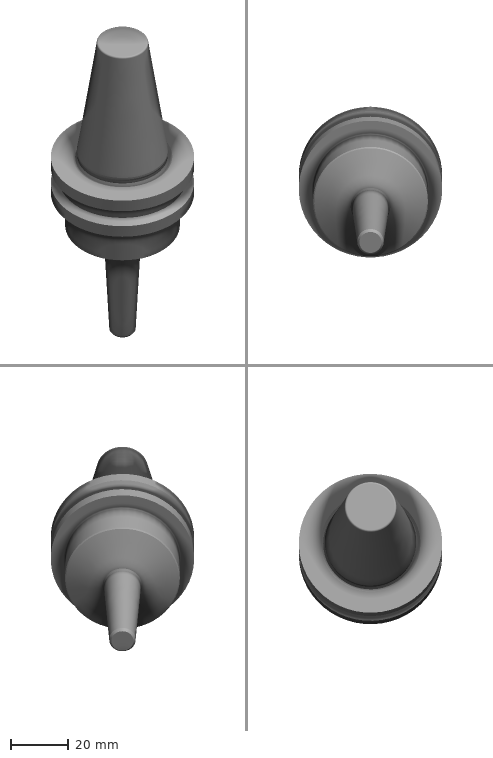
import cadquery as cq
import math

total_height = 127.8
nose_top = 40.0
cone_top = 46.8
flange_bottom = 61.1
flange_top = 77.0
collar_bottom = 79.2
collar_top = 80.0
collar_chamfer_height = 0.8

flange_radius = 24.98
body_radius = 20.0
nose_tip_radius = 4.6
nose_top_radius = 6.45
cone_small_radius = 6.9
collar_radius = 15.91
neck_radius = 15.7

groove_floor_radius = 22.2
groove_floor_width = 3.6
groove_mouth_width = 6.6

taper_slope = 7 / 24 / 2
taper_top_radius = collar_radius - (total_height - collar_top) * taper_slope

relief_start_height = 0.4
relief_depth = 0.4
relief_floor_radius = 16.5
relief_mouth_radius = 17.4

tip_chamfer_height = 1.0
tip_chamfer_width = 0.8
nose_blend_height = 0.9
body_corner_chamfer = 0.4
body_root_radius = 0.5
taper_top_fillet = 0.6

groove_middle = (flange_bottom + flange_top) / 2


def revolved_profile():
    """Half section in the XZ plane: first coordinate radius, second height."""
    quarter = math.sqrt(0.5)
    profile = cq.Workplane("XZ").lineTo(nose_tip_radius - tip_chamfer_width, 0)

    profile = (
        profile.lineTo(nose_tip_radius, tip_chamfer_height)
        .lineTo(nose_top_radius, nose_top)
        .lineTo(cone_small_radius, nose_top + nose_blend_height)
    )

    root_center_radius = body_radius + body_root_radius
    root_center_height = flange_bottom - body_root_radius
    profile = (
        profile.lineTo(body_radius - body_corner_chamfer, cone_top - body_corner_chamfer)
        .lineTo(body_radius, cone_top)
        .lineTo(body_radius, root_center_height)
        .threePointArc(
            (
                root_center_radius - body_root_radius * quarter,
                root_center_height + body_root_radius * quarter,
            ),
            (root_center_radius, flange_bottom),
        )
    )

    profile = (
        profile.lineTo(flange_radius, flange_bottom)
        .lineTo(flange_radius, groove_middle - groove_mouth_width / 2)
        .lineTo(groove_floor_radius, groove_middle - groove_floor_width / 2)
        .lineTo(groove_floor_radius, groove_middle + groove_floor_width / 2)
        .lineTo(flange_radius, groove_middle + groove_mouth_width / 2)
        .lineTo(flange_radius, flange_top)
    )

    profile = (
        profile.lineTo(relief_mouth_radius, flange_top)
        .lineTo(relief_floor_radius, flange_top - relief_depth)
        .lineTo(neck_radius, flange_top + relief_start_height)
        .lineTo(neck_radius, collar_bottom - collar_chamfer_height)
        .lineTo(collar_radius, collar_bottom)
        .lineTo(collar_radius, collar_top)
    )

    return profile.lineTo(taper_top_radius, total_height).lineTo(0, total_height).close()


holder = revolved_profile().revolve(360, (0, 0, 0), (0, 1, 0))
result = holder.faces(">Z").edges().fillet(taper_top_fillet)